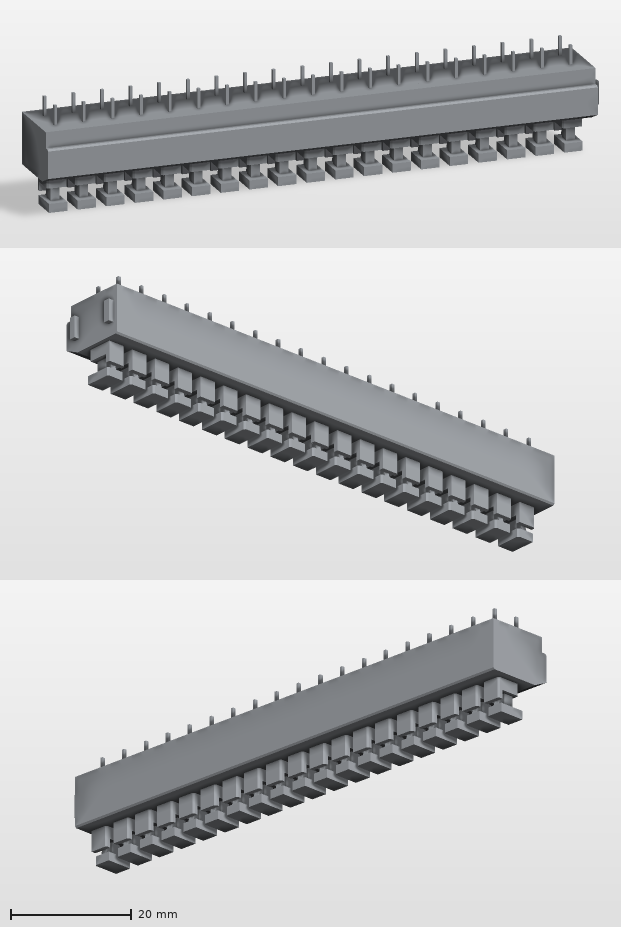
import cadquery as cq

housing_length = 97.5
housing_width = 12.6
base_z = 6.1
top_z = 15.3
shoulder_x = 11.5
shoulder_z = 12.5
shoulder_chamfer = 0.3
ramp_start_x = 9.9
ramp_end_z = 7.4
lower_edge_chamfer = 0.3

peg_length = 1.0
peg_width = 1.2
peg_height = 4.0
peg_centers_x = (1.5, 10.0)

pole_count = 19
pole_span = 91.4
pole_pitch = pole_span / (pole_count - 1)

first_pin_y = 2.9
pin_width = 0.6
pin_depth = 0.5
pin_tip_z = 18.7
pin_rows_x = (3.3, 8.3)

first_plunger_y = 1.7
collar_x = 3.0
collar_width = 4.7
collar_depth = 3.4
collar_bottom_z = 3.9
collar_chamfer = 0.3
skirt_bottom_z = 2.4
skirt_thickness = 0.9

foot_x = 3.5
foot_width = 5.0
foot_depth = 3.3
foot_height = 1.6
foot_chamfer = 0.3

stem_start_x = 5.1
stem_end_x = 7.1
stem_depth = 1.6
web_start_x = 4.1
web_depth = 1.0
web_toe_x = 3.8
web_toe_z = 2.7

overlap = 0.2


def box(x, y, z, size_x, size_y, size_z):
    """Box given by its lowest corner and its sizes."""
    return cq.Workplane("XY").box(size_x, size_y, size_z, centered=False).translate((x, y, z))


def make_housing():
    profile = [
        (lower_edge_chamfer, base_z),
        (ramp_start_x, base_z),
        (housing_width, ramp_end_z),
        (housing_width, shoulder_z - shoulder_chamfer),
        (housing_width - shoulder_chamfer, shoulder_z),
        (shoulder_x, shoulder_z),
        (shoulder_x, top_z),
        (0, top_z),
        (0, base_z + lower_edge_chamfer),
    ]
    return cq.Workplane("XZ").polyline(profile).close().extrude(-housing_length)


def make_peg(center_x):
    return box(
        center_x - peg_width / 2, housing_length - overlap, shoulder_z - peg_height,
        peg_width, peg_length + overlap, peg_height,
    )


def make_pins():
    """Pair of contact pins centred on y = 0."""
    return (
        cq.Workplane("XY", origin=(0, 0, top_z - overlap))
        .pushPoints([(x, 0) for x in pin_rows_x])
        .rect(pin_width, pin_depth)
        .extrude(pin_tip_z - top_z + overlap)
    )


def make_collar():
    """Collar and skirt, with chamfered upright edges at the -Y corners."""
    collar_height = base_z - collar_bottom_z + overlap
    collar = box(collar_x, 0, collar_bottom_z, collar_width, collar_depth, collar_height)
    skirt_height = base_z - skirt_bottom_z + overlap
    skirt = box(collar_x, 0, skirt_bottom_z, skirt_thickness, collar_depth, skirt_height)
    return collar.union(skirt).edges("|Z and <Y and (<X or >X)").chamfer(collar_chamfer)


def make_stem():
    """Stem and web, T-shaped in plan and centred over the foot."""
    center_y = foot_depth / 2
    bottom_z = foot_height - overlap
    top_of_stem_z = collar_bottom_z + overlap
    stem = box(
        stem_start_x, center_y - stem_depth / 2, bottom_z,
        stem_end_x - stem_start_x, stem_depth, top_of_stem_z - bottom_z,
    )
    web_profile = [
        (web_toe_x, bottom_z),
        (web_toe_x, foot_height),
        (web_start_x, web_toe_z),
        (web_start_x, top_of_stem_z),
        (stem_start_x + overlap, top_of_stem_z),
        (stem_start_x + overlap, bottom_z),
    ]
    web = (
        cq.Workplane("XZ", origin=(0, center_y - web_depth / 2, 0))
        .polyline(web_profile)
        .close()
        .extrude(-web_depth)
    )
    return stem.union(web)


def make_foot():
    foot = box(foot_x, 0, 0, foot_width, foot_depth, foot_height)
    return foot.edges("|Z and <X and >Y").chamfer(foot_chamfer)


def repeat_per_pole(shape, first_y):
    """Copies of one shape along Y, one per pole."""
    copies = cq.Workplane("XY")
    for pole in range(pole_count):
        copies = copies.add(shape.translate((0, first_y + pole * pole_pitch, 0)))
    return copies.combine()


plunger = make_collar().union(make_stem()).union(make_foot())

result = make_housing()
for peg_center_x in peg_centers_x:
    result = result.union(make_peg(peg_center_x))
result = result.union(repeat_per_pole(make_pins(), first_pin_y))
result = result.union(repeat_per_pole(plunger, first_plunger_y))